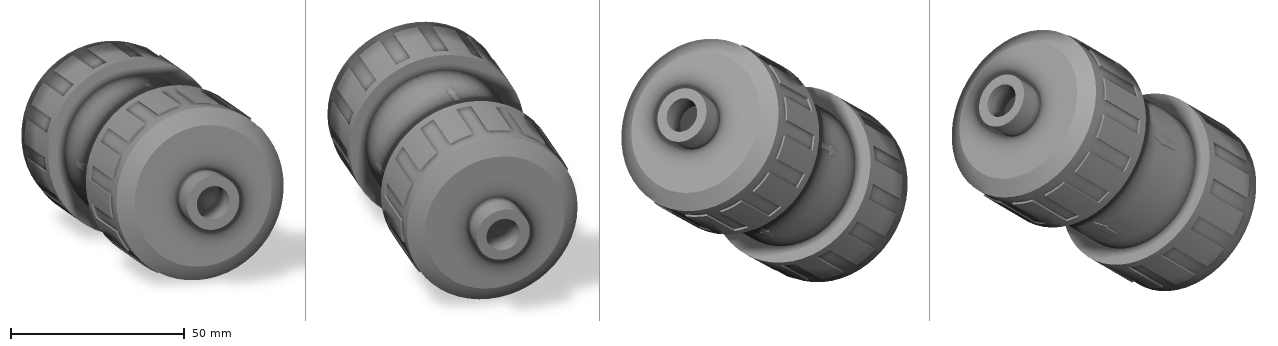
import cadquery as cq
import math

length = 100.0

stub_length = 8.2
stub_radius = 8.0
bore_radius = 5.0

barrel_radius = 21.3

nut_length = 26.3
nut_radius = 25.7
nut_face_radius = 21.0
nut_chamfer_length = 2.7
collar_diameter = 52.5
collar_width = 2.8

tooth_count = 14
gap_angle = 10.0
tooth_length = 16.6

arrow_count = 4
arrow_length = 10.0
arrow_head_length = 5.0
arrow_head_half_width = 1.4
arrow_shaft_half_width = 0.8
arrow_height = 0.3

collar_radius = collar_diameter / 2
tooth_pitch = 360.0 / tooth_count
tooth_angle = tooth_pitch - gap_angle
nut_inner_x = length / 2 - stub_length - nut_length


def rod(radius, start_x, rod_length):
    """Cylinder along X."""
    return cq.Workplane("YZ", origin=(start_x, 0, 0)).circle(radius).extrude(rod_length)


def make_tooth_gap():
    """Cutter for the gap between two teeth, lying just beside +Z on its +Y side."""
    reach = 2 * collar_radius
    end_y = reach * math.sin(math.radians(gap_angle))
    end_z = reach * math.cos(math.radians(gap_angle))
    return (
        cq.Workplane("YZ", origin=(nut_inner_x + collar_width, 0, 0))
        .polyline([(0, 0), (0, reach), (end_y, end_z)])
        .close()
        .extrude(tooth_length)
    )


def make_nut():
    """Union nut at the +X end: chamfered core, solid collar and grip teeth."""
    core = (
        cq.Workplane("XY")
        .moveTo(nut_inner_x, 0)
        .lineTo(nut_inner_x, nut_radius)
        .lineTo(nut_inner_x + nut_length - nut_chamfer_length, nut_radius)
        .lineTo(nut_inner_x + nut_length, nut_face_radius)
        .lineTo(nut_inner_x + nut_length, 0)
        .close()
        .revolve(360, (0, 0, 0), (1, 0, 0))
    )
    grip = rod(collar_radius, nut_inner_x, collar_width + tooth_length)
    gap = make_tooth_gap()
    for index in range(tooth_count):
        turn = -(tooth_angle + index * tooth_pitch)
        grip = grip.cut(gap.rotate((0, 0, 0), (1, 0, 0), turn))
    return core.union(grip)


def make_arrow():
    """Flow arrow on the +Z side, pointing along +X, with a top concentric to the barrel."""
    tail_x = -arrow_length / 2
    neck_x = arrow_length / 2 - arrow_head_length
    outline = [
        (tail_x, -arrow_shaft_half_width),
        (neck_x, -arrow_shaft_half_width),
        (neck_x, -arrow_head_half_width),
        (arrow_length / 2, 0),
        (neck_x, arrow_head_half_width),
        (neck_x, arrow_shaft_half_width),
        (tail_x, arrow_shaft_half_width),
    ]
    prism = cq.Workplane("XY").polyline(outline).close().extrude(2 * barrel_radius)
    return prism.intersect(rod(barrel_radius + arrow_height, tail_x, arrow_length))


nut = make_nut()
result = rod(barrel_radius, -nut_inner_x, 2 * nut_inner_x)
result = result.union(rod(stub_radius, -length / 2, length))
result = result.union(nut)
result = result.union(nut.rotate((0, 0, 0), (0, 0, 1), 180))

arrow = make_arrow()
for index in range(arrow_count):
    result = result.union(arrow.rotate((0, 0, 0), (1, 0, 0), index * 360.0 / arrow_count))

for start_x in (-length / 2, length / 2 - stub_length):
    result = result.cut(rod(bore_radius, start_x, stub_length))